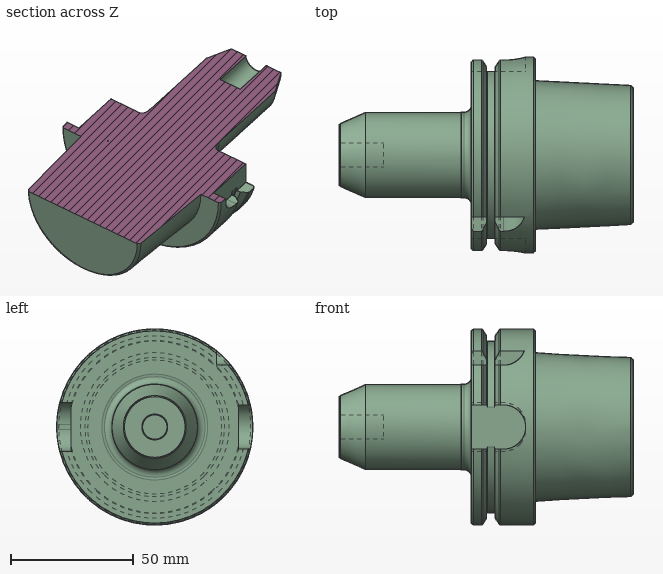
import cadquery as cq
import math

total_length = 120.0

tip_radius = 12.8
tip_chamfer = 0.5
nose_cone_end = 10.8
nose_radius = 17.4
root_radius = 17.5
root_step_start = 49.7
root_step_end = 49.9
root_fillet = 3.0
root_fillet_start = 51.0
recess_depth = 0.1
recess_radius = 21.6

flange_start = root_fillet_start + root_fillet - recess_depth
flange_end = 80.0
flange_radius = 80.0 / 2
flange_chamfer = 0.8
groove_center = 61.9
groove_wall_width = 3.5
groove_floor_chamfer = 0.3
groove_floor_radius = 35.0
groove_wall_top_radius = 37.2
groove_shoulder_width = 6.6
groove_shoulder_radius = 39.6
groove_mouth_width = 7.8

taper_start_radius = 30.4
taper_ratio = 0.05
end_chamfer = 1.1

bore_diameter = 10.0
bore_mouth_diameter = 10.5
bore_depth = 18.0

slot_end = 76.1
slot_corner_radius = 9.0
front_slot_width = 2 * slot_corner_radius
rear_slot_width = 19.9
side_slot_floor = 34.1
notch_floor = 25.2


def groove_wall(side):
    """Profile points of one groove wall, from mouth to floor; side is -1 or +1."""
    half_wall_width = groove_wall_width / 2
    return [
        (groove_center + side * groove_mouth_width / 2, flange_radius),
        (groove_center + side * groove_shoulder_width / 2, groove_shoulder_radius),
        (groove_center + side * half_wall_width, groove_wall_top_radius),
        (groove_center + side * half_wall_width, groove_floor_radius + groove_floor_chamfer),
        (groove_center + side * (half_wall_width - groove_floor_chamfer), groove_floor_radius),
    ]


def make_body():
    """Revolve the nose, flange and taper as one half profile."""
    fillet_end_radius = root_radius + root_fillet
    fillet_end = root_fillet_start + root_fillet
    diagonal = root_fillet * math.sqrt(0.5)
    fillet_middle = (root_fillet_start + diagonal, fillet_end_radius - diagonal)
    chamfer_radius = flange_radius - flange_chamfer
    chamfer_start = total_length - end_chamfer
    taper_end_radius = taper_start_radius - taper_ratio * (chamfer_start - flange_end)

    profile = (
        cq.Workplane("XY")
        .moveTo(0, 0)
        .lineTo(0, tip_radius - tip_chamfer)
        .lineTo(tip_chamfer, tip_radius)
        .lineTo(nose_cone_end, nose_radius)
        .lineTo(root_step_start, nose_radius)
        .lineTo(root_step_end, root_radius)
        .lineTo(root_fillet_start, root_radius)
        .threePointArc(fillet_middle, (fillet_end, fillet_end_radius))
        .lineTo(flange_start, recess_radius)
        .lineTo(flange_start, chamfer_radius)
        .lineTo(flange_start + flange_chamfer, flange_radius)
    )
    for point in groove_wall(-1) + groove_wall(1)[::-1]:
        profile = profile.lineTo(*point)
    profile = (
        profile.lineTo(flange_end - flange_chamfer, flange_radius)
        .lineTo(flange_end, chamfer_radius)
        .lineTo(flange_end, taper_start_radius)
        .lineTo(chamfer_start, taper_end_radius)
        .lineTo(total_length, taper_end_radius - end_chamfer)
        .lineTo(total_length, 0)
        .close()
    )
    return profile.revolve(360, (0, 0, 0), (1, 0, 0))


def make_bore():
    """Blind flat-bottomed bore with a 45 degree mouth chamfer."""
    mouth_radius = bore_mouth_diameter / 2
    bore_radius = bore_diameter / 2
    profile = (
        cq.Workplane("XY")
        .lineTo(0, mouth_radius)
        .lineTo(mouth_radius - bore_radius, bore_radius)
        .lineTo(bore_depth, bore_radius)
        .lineTo(bore_depth, 0)
        .close()
    )
    return profile.revolve(360, (0, 0, 0), (1, 0, 0))


def make_slot(side, floor, width, center_z):
    """Cutter for a slot open at the flange front face, milled along Y from the given side."""
    arc_start = slot_end - slot_corner_radius
    diagonal = slot_corner_radius * math.sqrt(0.5)
    half_width = width / 2
    corner_z = half_width - slot_corner_radius
    outline = (
        cq.Workplane("XZ", origin=(0, side * floor, center_z))
        .moveTo(flange_start, -half_width)
        .lineTo(arc_start, -half_width)
        .threePointArc((arc_start + diagonal, -corner_z - diagonal), (slot_end, -corner_z))
    )
    if corner_z > 0:
        outline = outline.lineTo(slot_end, corner_z)
    outline = (
        outline.threePointArc((arc_start + diagonal, corner_z + diagonal), (arc_start, half_width))
        .lineTo(flange_start, half_width)
        .close()
    )
    return outline.extrude(-side * flange_radius)


result = (
    make_body()
    .cut(make_bore())
    .cut(make_slot(-1, side_slot_floor, front_slot_width, 0))
    .cut(make_slot(1, side_slot_floor, rear_slot_width, 0))
    .cut(make_slot(-1, notch_floor, front_slot_width, notch_floor + slot_corner_radius))
)